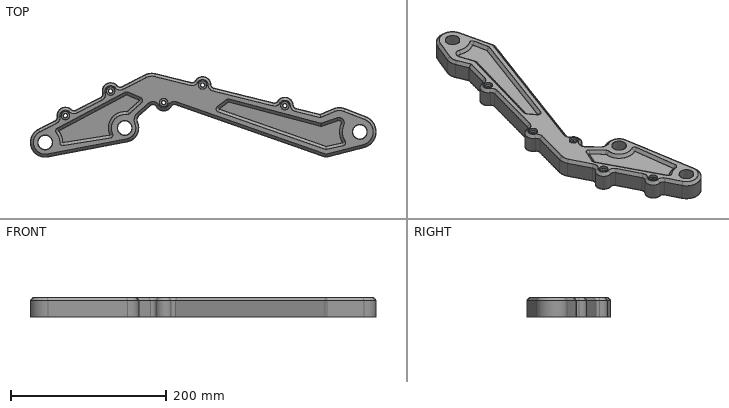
import cadquery as cq
import math


THICKNESS = 25.4
RIM_CHAMFER = 3.81

LEFT_EYE = (0.0, 0.0)
MIDDLE_EYE = (102.6, 18.6)
RIGHT_EYE = (405.8, 13.6)
LEFT_EYE_RADIUS = 19.05
MIDDLE_EYE_RADIUS = 18.1
RIGHT_EYE_RADIUS = 20.96
BORE_DIAMETER = 18.5

PEAK = (137.5, 70.19)
VALLEY = (354.6, 36.0)
KNEE = (379.4, 25.9)
HEEL = (362.3, -14.0)
ELBOW = (145.8, 56.5)
ELBOW_FOOT = (102.6, 18.4)
BEND_RADIUS = 19.05
HEEL_RADIUS = 5.0
MIDDLE_EYE_BLEND = 8.0

BOSSES = [(26.1, 34.6), (84.4, 66.2), (203.0, 74.0), (309.1, 47.4), (152.8, 51.4)]
BOSS_RADIUS = 10.8
BOSS_BLEND = 5.0
SCREW_DIAMETER = 5.2
COUNTERBORE_DIAMETER = 10.8
COUNTERBORE_DEPTH = 4.0

POCKET_DEPTH = RIM_CHAMFER
WALL_TAPER = 45.0
CORNER_RADIUS = 4.0
MIDDLE_LAND_CORNER = 5.4
KNEE_CORNER = 7.0
LEFT_POCKET_PEAK = (105.0, 61.2)
LEFT_POCKET_TIP = (121.6, 54.2)
RIGHT_POCKET_TIP = (224.5, 43.1)
RIGHT_POCKET_PEAK = (236.4, 52.0)
RIGHT_POCKET_VALLEY = (355.9, 24.6)
RIGHT_POCKET_HEEL = (362.3, -5.0)

LEFT_LAND_RADIUS = 18.9
MIDDLE_LAND_RADIUS = 17.3
RIGHT_LAND_RADIUS = 22.4

LEFT_UPPER_ANGLE = 40
LEFT_LOWER_ANGLE = 0
MIDDLE_UPPER_ANGLE = 84
MIDDLE_LOWER_ANGLE = 205
RIGHT_UPPER_ANGLE = 157
RIGHT_LOWER_ANGLE = 212

TOUCH = 0.001


def polar(centre, radius, angle):
    return (centre[0] + radius * math.cos(angle), centre[1] + radius * math.sin(angle))


def land_corner(eye, land_radius, corner_radius, degrees):
    """Pocket corner circle touching the land of an eye, seen from the eye at an angle."""
    return polar(eye, land_radius + corner_radius, math.radians(degrees)), corner_radius


def belt(pulleys):
    """Closed clockwise outline of tangent lines around circles (centre, signed radius).

    A positive radius bulges outward, a negative one is a hollow, zero is a sharp corner.
    """
    tangents = []
    for i, (start, start_radius) in enumerate(pulleys):
        end, end_radius = pulleys[(i + 1) % len(pulleys)]
        heading = math.atan2(end[1] - start[1], end[0] - start[0])
        ratio = (start_radius - end_radius) / math.dist(start, end)
        lean = math.asin(max(-1.0, min(1.0, ratio)))
        normal = heading + math.pi / 2 - lean
        tangents.append((polar(start, start_radius, normal), polar(end, end_radius, normal), normal))

    outline = cq.Workplane("XY").moveTo(*tangents[0][0])
    for i, (departure, arrival, normal) in enumerate(tangents):
        following = (i + 1) % len(pulleys)
        centre, radius = pulleys[following]
        next_departure, _, next_normal = tangents[following]
        if math.dist(departure, arrival) > TOUCH:
            outline = outline.lineTo(*arrival)
        if radius != 0:
            turn = (normal - next_normal) % (2 * math.pi)
            if radius < 0:
                turn -= 2 * math.pi
            outline = outline.threePointArc(polar(centre, radius, normal - turn / 2), next_departure)
    return outline.close()


def blend_junctions(body, centre, disc_radius, blend_radius):
    """Round the vertical inside corners where a disc meets the rest of the body."""
    corners = [
        edge
        for edge in body.edges("|Z").vals()
        if abs(math.dist(edge.Center().toTuple()[:2], centre) - disc_radius) < TOUCH
    ]
    return body.newObject(corners).fillet(blend_radius)


def make_body():
    arm = belt([
        (LEFT_EYE, LEFT_EYE_RADIUS),
        (PEAK, BEND_RADIUS),
        (VALLEY, 0),
        (KNEE, BEND_RADIUS),
        (RIGHT_EYE, RIGHT_EYE_RADIUS),
        (HEEL, HEEL_RADIUS),
        (ELBOW, 0),
        (ELBOW_FOOT, 0),
    ]).extrude(THICKNESS)
    link = belt([(LEFT_EYE, LEFT_EYE_RADIUS), (MIDDLE_EYE, MIDDLE_EYE_RADIUS)]).extrude(THICKNESS)
    body = blend_junctions(arm.union(link), MIDDLE_EYE, MIDDLE_EYE_RADIUS, MIDDLE_EYE_BLEND)
    for boss in BOSSES:
        body = body.union(cq.Workplane("XY").center(*boss).circle(BOSS_RADIUS).extrude(THICKNESS))
        body = blend_junctions(body, boss, BOSS_RADIUS, BOSS_BLEND)
    return body.faces(">Z").edges().chamfer(RIM_CHAMFER)


def make_pocket(pulleys):
    """Recess sloping inward from its rim in the top face to a flat floor."""
    rim = belt(pulleys).wire().val().moved(cq.Location(cq.Vector(0, 0, THICKNESS)))
    return cq.Workplane("XY").add(rim).toPending().extrude(-POCKET_DEPTH, taper=WALL_TAPER)


def make_left_pocket():
    return make_pocket([
        land_corner(LEFT_EYE, LEFT_LAND_RADIUS, CORNER_RADIUS, LEFT_UPPER_ANGLE),
        (LEFT_POCKET_PEAK, CORNER_RADIUS),
        (LEFT_POCKET_TIP, CORNER_RADIUS),
        land_corner(MIDDLE_EYE, MIDDLE_LAND_RADIUS, MIDDLE_LAND_CORNER, MIDDLE_UPPER_ANGLE),
        (MIDDLE_EYE, -MIDDLE_LAND_RADIUS),
        land_corner(MIDDLE_EYE, MIDDLE_LAND_RADIUS, CORNER_RADIUS, MIDDLE_LOWER_ANGLE),
        land_corner(LEFT_EYE, LEFT_LAND_RADIUS, CORNER_RADIUS, LEFT_LOWER_ANGLE),
        (LEFT_EYE, -LEFT_LAND_RADIUS),
    ])


def make_right_pocket():
    return make_pocket([
        (RIGHT_POCKET_TIP, CORNER_RADIUS),
        (RIGHT_POCKET_PEAK, CORNER_RADIUS),
        (RIGHT_POCKET_VALLEY, 0),
        land_corner(RIGHT_EYE, RIGHT_LAND_RADIUS, KNEE_CORNER, RIGHT_UPPER_ANGLE),
        (RIGHT_EYE, -RIGHT_LAND_RADIUS),
        land_corner(RIGHT_EYE, RIGHT_LAND_RADIUS, CORNER_RADIUS, RIGHT_LOWER_ANGLE),
        (RIGHT_POCKET_HEEL, CORNER_RADIUS),
    ])


def drill(body):
    body = body.faces(">Z").workplane(origin=(0, 0, THICKNESS))
    body = body.pushPoints([LEFT_EYE, MIDDLE_EYE, RIGHT_EYE]).hole(BORE_DIAMETER)
    body = body.faces(">Z").workplane(origin=(0, 0, THICKNESS)).pushPoints(BOSSES)
    return body.cboreHole(SCREW_DIAMETER, COUNTERBORE_DIAMETER, COUNTERBORE_DEPTH)


body = make_body().cut(make_left_pocket()).cut(make_right_pocket())
result = drill(body)